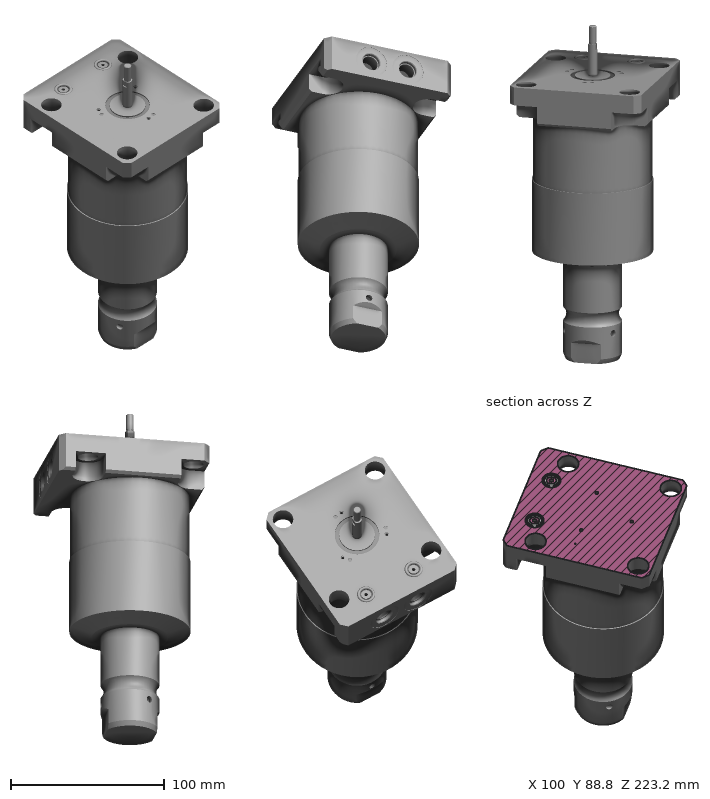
import cadquery as cq
import math


total_height = 223.2

plate_length = 100.0
plate_width = 88.8
plate_thickness = 25.0
plate_right = plate_width / 2
plate_left = plate_right - plate_length
corner_chamfer = 4.0
bottom_chamfer = 1.8

hole_spacing = 70.0
hole_diameter = 13.5
pocket_diameter = 20.0
pocket_depth = 13.0

upper_body_radius = 38.8
lower_body_radius = 39.5
cone_end_radius = 25.0
body_step_depth = 69.5
cone_start_depth = 117.8
cone_end_depth = 122.0

shaft_radius = 19.2
groove_start_depth = 155.3
groove_end_depth = 165.0
groove_sag = 2.0
shaft_end_depth = 190.0
end_chamfer_radial = 1.3
end_chamfer_length = 3.3
flat_offset = 16.3
flat_start_depth = 176.7
shaft_hole_center_depth = 170.3
shaft_hole_diameter = 4.5
shaft_hole_length = 3.0
drill_tip_angle = 118

rod_height = total_height - shaft_end_depth
rod_radius = 3.1
tip_radius = 2.5
tip_chamfer = 0.5
shoulder_height = 21.2
neck_radius = 2.2
neck_top_height = 22.5
rod_flat_offset = 2.5
rod_flat_start_height = 17.2

ring_outer_radius = 14.5
ring_inner_radius = 11.5
ring_depth = 1.0

small_hole_circle_radius = 19.5
round_hole_diameter = 1.8
round_hole_depth = 4.5
round_hole_mouth_diameter = 3.0
round_hole_mouth_depth = 0.5
marker_diameter = 2.7
marker_depth = 0.5
marker_angle = 15

seal_x = -41.0
seal_y = 18.0
seal_major_radius = 5.0
seal_minor_radius = 1.0
seal_center_depth = 0.5
seal_recess_depth = 1.3
seal_hub_diameter = 6.5
seal_hub_depth = 0.2
seal_bore_diameter = 2.2
seal_bore_depth = 4.5

port_y = 12.7
port_depth = 13.0
port_face_diameter = 21.5
port_face_recess = 0.2
port_mouth_diameter = 12.7
port_thread_diameter = 11.8
port_thread_length = 2.7
port_bore_diameter = 10.5
port_bore_length = 11.2


def cylinder_down(x, y, diameter, start_depth, length):
    """Vertical cylinder running down from the given depth."""
    return cq.Workplane("XY", origin=(x, y, -start_depth)).circle(diameter / 2).extrude(-length)


def make_plate():
    plate = (
        cq.Workplane("XY")
        .box(plate_length, plate_width, plate_thickness, centered=(False, True, False))
        .translate((plate_left, 0, -plate_thickness))
        .edges("|Z")
        .chamfer(corner_chamfer)
    )
    for side in ("<Y", ">Y", ">X"):
        plate = plate.faces(side).edges("<Z").chamfer(bottom_chamfer)
    return plate


def make_pocket(x, side_y, open_to_right):
    """Round pocket, open to the nearer long side and optionally to the right end."""
    radius = pocket_diameter / 2
    reach = plate_width
    direction = math.copysign(1, side_y)
    right = reach if open_to_right else radius
    pocket = cylinder_down(x, side_y, pocket_diameter, plate_thickness - pocket_depth, pocket_depth)
    outward = (
        cq.Workplane("XY", origin=(x, side_y, -plate_thickness))
        .moveTo(-radius, 0)
        .lineTo(right, 0)
        .lineTo(right, direction * reach)
        .lineTo(-radius, direction * reach)
        .close()
        .extrude(pocket_depth)
    )
    pocket = pocket.union(outward)
    if open_to_right:
        sideways = (
            cq.Workplane("XY", origin=(x, side_y, -plate_thickness))
            .rect(reach, -direction * radius, centered=False)
            .extrude(pocket_depth)
        )
        pocket = pocket.union(sideways)
    return pocket


def cut_mounting_holes(plate):
    half = hole_spacing / 2
    for x in (-half, half):
        for y in (-half, half):
            plate = plate.cut(cylinder_down(x, y, hole_diameter, 0, plate_thickness))
            plate = plate.cut(make_pocket(x, y, x > 0))
    return plate


def make_body_and_shaft():
    groove_middle = (shaft_radius - groove_sag, -(groove_start_depth + groove_end_depth) / 2)
    return (
        cq.Workplane("XZ")
        .moveTo(0, -plate_thickness)
        .lineTo(upper_body_radius, -plate_thickness)
        .lineTo(upper_body_radius, -body_step_depth)
        .lineTo(lower_body_radius, -body_step_depth)
        .lineTo(lower_body_radius, -cone_start_depth)
        .lineTo(cone_end_radius, -cone_end_depth)
        .lineTo(shaft_radius, -cone_end_depth)
        .lineTo(shaft_radius, -groove_start_depth)
        .threePointArc(groove_middle, (shaft_radius, -groove_end_depth))
        .lineTo(shaft_radius, -(shaft_end_depth - end_chamfer_length))
        .lineTo(shaft_radius - end_chamfer_radial, -shaft_end_depth)
        .lineTo(0, -shaft_end_depth)
        .close()
        .revolve(360, (0, 0, 0), (0, 1, 0))
    )


def cut_shaft_flats(shaft):
    """Wrench flats on both X sides, each with a 45 degree run-out at the top."""
    runout = 2 * (shaft_radius - flat_offset)
    bottom = -shaft_end_depth
    for side in (-1, 1):
        cutter = (
            cq.Workplane("XZ")
            .moveTo(side * flat_offset, bottom)
            .lineTo(side * flat_offset, -flat_start_depth)
            .lineTo(side * (flat_offset + runout), runout - flat_start_depth)
            .lineTo(side * (flat_offset + runout), bottom)
            .close()
            .extrude(shaft_radius, both=True)
        )
        shaft = shaft.cut(cutter)
    return shaft


def cut_shaft_holes(shaft):
    """Three radial drill dimples with conical ends, equally spaced."""
    radius = shaft_hole_diameter / 2
    cone_height = radius / math.tan(math.radians(drill_tip_angle / 2))
    wall_start = shaft_radius - shaft_hole_length
    drill = (
        cq.Workplane("XY")
        .moveTo(wall_start - cone_height, 0)
        .lineTo(wall_start, radius)
        .lineTo(shaft_radius + radius, radius)
        .lineTo(shaft_radius + radius, 0)
        .close()
        .revolve(360, (0, 0, 0), (1, 0, 0))
        .translate((0, 0, -shaft_hole_center_depth))
    )
    for angle in (60, 180, 300):
        shaft = shaft.cut(drill.rotate((0, 0, 0), (0, 0, 1), angle))
    return shaft


def make_rod():
    """Rod with two flats below its shoulder, then a short neck and a chamfered tip."""
    rod = cq.Workplane("XY").circle(rod_radius).extrude(shoulder_height)
    flat_height = shoulder_height - rod_flat_start_height
    for side in (-1, 1):
        cutter_y = side * (rod_flat_offset + rod_radius / 2)
        flat_cutter = (
            cq.Workplane("XY", origin=(0, cutter_y, rod_flat_start_height))
            .rect(2 * rod_radius, rod_radius)
            .extrude(flat_height)
        )
        rod = rod.cut(flat_cutter)
    neck = cq.Workplane("XY").circle(neck_radius).extrude(neck_top_height)
    tip = (
        cq.Workplane("XY", origin=(0, 0, neck_top_height))
        .circle(tip_radius)
        .extrude(rod_height - neck_top_height)
        .faces(">Z")
        .chamfer(tip_chamfer)
    )
    return rod.union(neck).union(tip)


def cut_ring_and_small_holes(part):
    ring = (
        cq.Workplane("XY")
        .circle(ring_outer_radius)
        .circle(ring_inner_radius)
        .extrude(-ring_depth)
    )
    part = part.cut(ring)
    for angle in (0, 120, 240):
        for offset, diameter, depth in (
            (0, round_hole_mouth_diameter, round_hole_mouth_depth),
            (0, round_hole_diameter, round_hole_depth),
            (marker_angle, marker_diameter, marker_depth),
        ):
            direction = math.radians(angle + offset)
            x = small_hole_circle_radius * math.cos(direction)
            y = small_hole_circle_radius * math.sin(direction)
            part = part.cut(cylinder_down(x, y, diameter, 0, depth))
    return part


def add_seals(part):
    """Recesses with a bored hub and an O-ring that stands slightly proud of the plate."""
    recess_diameter = 2 * (seal_major_radius + seal_minor_radius)
    o_ring = (
        cq.Workplane("XZ")
        .center(seal_major_radius, -seal_center_depth)
        .circle(seal_minor_radius)
        .revolve(360, (-seal_major_radius, 0, 0), (-seal_major_radius, 1, 0))
    )
    hub_height = seal_recess_depth - seal_hub_depth
    for y in (-seal_y, seal_y):
        part = part.cut(cylinder_down(seal_x, y, recess_diameter, 0, seal_recess_depth))
        part = part.union(cylinder_down(seal_x, y, seal_hub_diameter, seal_hub_depth, hub_height))
        part = part.cut(cylinder_down(seal_x, y, seal_bore_diameter, 0, seal_bore_depth))
        part = part.union(o_ring.translate((seal_x, y, 0)))
    return part


def cut_ports(part):
    """Blind ports with a spot face and a chamfered mouth."""
    mouth_chamfer = (port_mouth_diameter - port_thread_diameter) / 2
    port = (
        cq.Workplane("XY")
        .lineTo(0, port_face_diameter / 2)
        .lineTo(port_face_recess, port_face_diameter / 2)
        .lineTo(port_face_recess, port_mouth_diameter / 2)
        .lineTo(port_face_recess + mouth_chamfer, port_thread_diameter / 2)
        .lineTo(port_thread_length, port_thread_diameter / 2)
        .lineTo(port_thread_length, port_bore_diameter / 2)
        .lineTo(port_bore_length, port_bore_diameter / 2)
        .lineTo(port_bore_length, 0)
        .close()
        .revolve(360, (0, 0, 0), (1, 0, 0))
    )
    for y in (-port_y, port_y):
        part = part.cut(port.translate((plate_left, y, -port_depth)))
    return part


plate = cut_mounting_holes(make_plate())
plate = cut_ring_and_small_holes(plate)
plate = cut_ports(plate)
plate = add_seals(plate)
body = cut_shaft_flats(make_body_and_shaft())
body = cut_shaft_holes(body)
result = plate.union(body).union(make_rod())